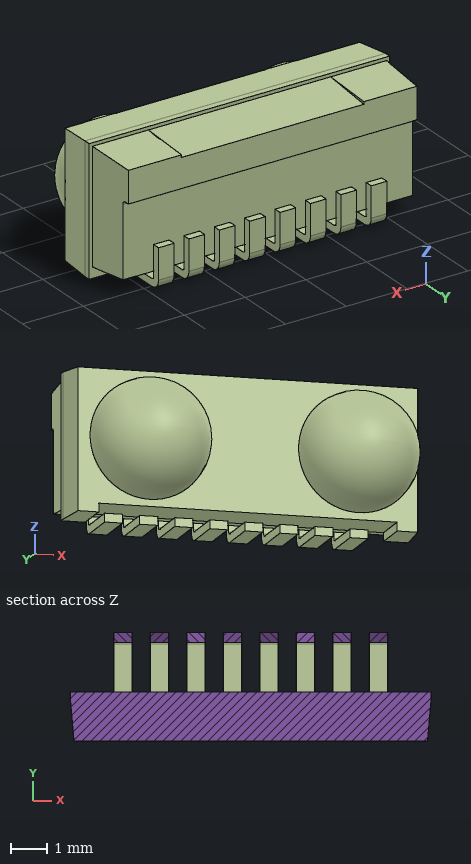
import cadquery as cq

LENGTH = 9.9
HEIGHT = 4.15
DEPTH = 3.0

FLANGE_BACK = 1.64
FLANGE_THICKNESS = 0.21

FRONT_INSET = 0.1

REAR_ROOT_INSET = 0.11
REAR_END_INSET = 0.2
REAR_ROOT_BOTTOM = 0.36
PAD_SEAT_BOTTOM = 0.5
SEAT_TOP = 2.92
SEAT_FILLET = 0.1

TOP_RECESS_WIDTH = 6.0
TOP_RECESS_DROP = 0.08

LENS_RADIUS = 1.7
LENS_HEIGHT = 2.15
LENS_POSITIONS = (-2.8, 3.15)

LEAD_COUNT = 8
LEAD_PITCH = 1.0
LEAD_WIDTH = 0.51
LEAD_THICKNESS = 0.25
LEAD_TOP = 1.32
BEND_INNER_RADIUS = 0.08

FOOT_WIDTH = 0.69

FRONT_Y = 0.0
BACK_Y = FRONT_Y + DEPTH
FLANGE_BACK_Y = BACK_Y - FLANGE_BACK
FLANGE_FRONT_Y = FLANGE_BACK_Y - FLANGE_THICKNESS
SEAT_Y = BACK_Y - LEAD_THICKNESS


def outline(inset, bottom):
    """Corner points, in X and Z, of a section inset at the sides and the top."""
    half_width = LENGTH / 2 - inset
    top = HEIGHT - inset
    return [(-half_width, bottom), (half_width, bottom), (half_width, top), (-half_width, top)]


def section_wire(y, inset, bottom):
    return cq.Wire.makePolygon([cq.Vector(x, y, z) for x, z in outline(inset, bottom)], close=True)


def tapered_block(start, end):
    """Ruled block between two sections, each given as (y, inset, bottom)."""
    wires = [section_wire(*start), section_wire(*end)]
    return cq.Workplane(cq.Solid.makeLoft(wires, True))


def yz_prism(points, width):
    """Prism of a Y-Z profile, centred on X = 0."""
    return cq.Workplane("YZ").polyline(points).close().extrude(width / 2, both=True)


def make_rear_block():
    slope = (PAD_SEAT_BOTTOM - REAR_ROOT_BOTTOM) / (SEAT_Y - FLANGE_BACK_Y)
    back_bottom = REAR_ROOT_BOTTOM + slope * FLANGE_BACK
    block = tapered_block(
        (FLANGE_BACK_Y, REAR_ROOT_INSET, REAR_ROOT_BOTTOM),
        (BACK_Y, REAR_END_INSET, back_bottom),
    )

    seat = (
        cq.Workplane("XY")
        .box(LENGTH, LEAD_THICKNESS, SEAT_TOP, centered=(True, False, False))
        .edges("<Y and >Z")
        .fillet(SEAT_FILLET)
        .translate((0, SEAT_Y, 0))
    )

    root_top = HEIGHT - REAR_ROOT_INSET
    end_top = HEIGHT - REAR_END_INSET
    wedge = yz_prism(
        [(FLANGE_BACK_Y, root_top), (BACK_Y, end_top - TOP_RECESS_DROP), (BACK_Y, root_top)],
        TOP_RECESS_WIDTH,
    )
    return block.cut(seat).cut(wedge)


def make_lens(x):
    """Hemisphere bulging forward from the front face."""
    dome = cq.Workplane("XY").sphere(LENS_RADIUS, angle1=0)
    return dome.rotate((0, 0, 0), (1, 0, 0), 90).translate((x, FRONT_Y, LENS_HEIGHT))


def make_housing():
    cover = tapered_block((FRONT_Y, FRONT_INSET, 0), (FLANGE_FRONT_Y, 0, 0))
    flange = tapered_block((FLANGE_FRONT_Y, 0, 0), (FLANGE_BACK_Y, 0, 0))
    notch = cq.Workplane("XY").box(
        LENGTH - 2 * FOOT_WIDTH, FLANGE_BACK_Y, LEAD_THICKNESS, centered=(True, False, False)
    )
    housing = cover.union(flange).cut(notch).union(make_rear_block())
    for x in LENS_POSITIONS:
        housing = housing.union(make_lens(x))
    return housing


def make_lead(x):
    """L-shaped strip: foot under the flange, bend, and pad against the back of the housing."""
    foot_length = BACK_Y - FLANGE_FRONT_Y
    strip = (
        cq.Workplane("YZ")
        .moveTo(FLANGE_FRONT_Y, 0)
        .hLine(foot_length)
        .vLine(LEAD_TOP)
        .hLine(-LEAD_THICKNESS)
        .vLine(LEAD_THICKNESS - LEAD_TOP)
        .hLine(LEAD_THICKNESS - foot_length)
        .close()
        .extrude(LEAD_WIDTH / 2, both=True)
    )
    strip = strip.edges("|X and >Y and <Z").fillet(BEND_INNER_RADIUS + LEAD_THICKNESS)
    inner_corner = cq.selectors.NearestToPointSelector((0, SEAT_Y, LEAD_THICKNESS))
    strip = strip.edges(inner_corner).fillet(BEND_INNER_RADIUS)
    return strip.translate((x, 0, 0))


housing = make_housing()
leads = [make_lead((i - (LEAD_COUNT - 1) / 2) * LEAD_PITCH) for i in range(LEAD_COUNT)]

result = cq.Compound.makeCompound([housing.val(), *[lead.val() for lead in leads]])